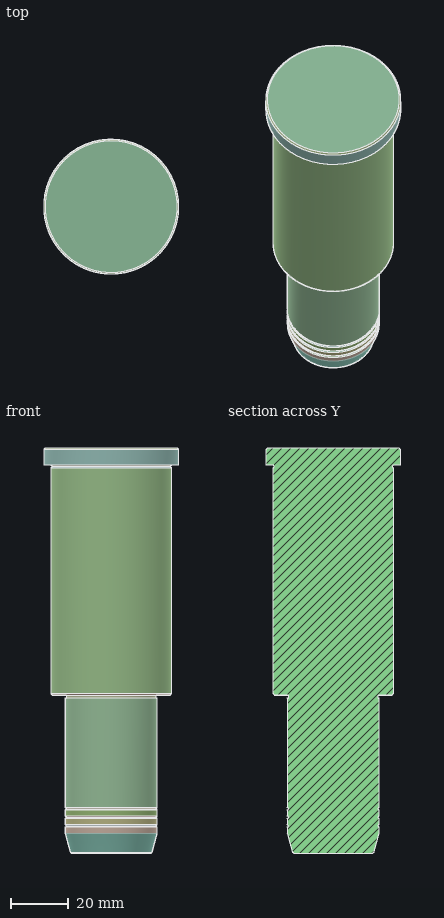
import cadquery as cq

total_length = 141.0
head_thickness = 6.0
head_and_body_length = 86.0

head_radius = 23.48
body_radius = 21.0
pin_radius = 16.0
tip_radius = 14.1

head_chamfer = 0.5
body_chamfer = 0.5
relief_width = 1.0
relief_depth = 0.4

taper_length = 7.0
tip_chamfer = 0.4
groove_count = 3
groove_width = 0.8
groove_depth = 0.4
groove_pitch = 3.0
first_groove_height = 9.2

head_bottom = total_length - head_thickness
body_bottom = total_length - head_and_body_length


def cylinder(radius, bottom, top):
    """Solid cylinder about Z between two heights."""
    return cq.Workplane("XY").workplane(offset=bottom).circle(radius).extrude(top - bottom)


def ring_groove(radius, depth, bottom, width):
    """Ring-shaped cutter for a rectangular groove in a cylinder of the given radius."""
    return cylinder(radius, bottom, bottom + width).cut(
        cylinder(radius - depth, bottom, bottom + width)
    )


def vee_groove(radius, depth, bottom, width):
    """Ring-shaped cutter for a V groove in a cylinder of the given radius."""
    profile = [
        (radius, bottom),
        (radius - depth, bottom + width / 2),
        (radius, bottom + width),
    ]
    return cq.Workplane("XZ").polyline(profile).close().revolve(360, (0, 0, 0), (0, 1, 0))


def make_head():
    return cylinder(head_radius, head_bottom, total_length).faces(">Z").edges().chamfer(head_chamfer)


def make_body():
    """Press-fit body with a chamfered lower edge and a relief under the head."""
    body = cylinder(body_radius, body_bottom, head_bottom)
    body = body.faces("<Z").edges().chamfer(body_chamfer)
    return body.cut(vee_groove(body_radius, relief_depth, head_bottom - relief_width, relief_width))


def make_pin():
    """Guide pin with a tapered tip, three grooves and a relief under the body."""
    taper = (
        cq.Workplane("XY")
        .circle(tip_radius)
        .workplane(offset=taper_length)
        .circle(pin_radius)
        .loft(ruled=True)
    )
    taper = taper.faces("<Z").edges().chamfer(tip_chamfer)
    pin = taper.union(cylinder(pin_radius, taper_length, body_bottom))
    for index in range(groove_count):
        groove_bottom = first_groove_height + index * groove_pitch
        pin = pin.cut(vee_groove(pin_radius, groove_depth, groove_bottom, groove_width))
    return pin.cut(ring_groove(pin_radius, relief_depth, body_bottom - relief_width, relief_width))


result = make_head().union(make_body()).union(make_pin())